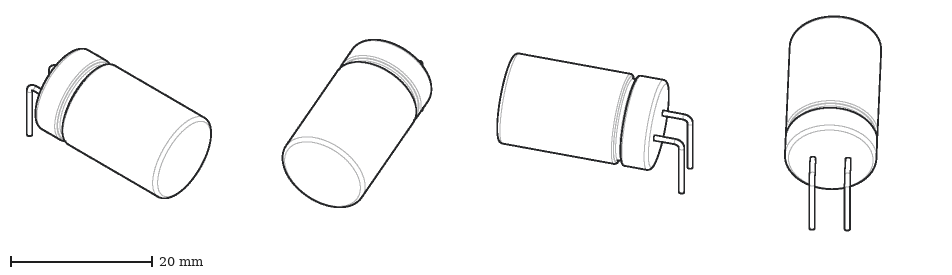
import cadquery as cq

total_length = 26.4
total_height = 16.5

can_diameter = 13.0
can_length = 22.02
end_radius = 0.5

groove_diameter = 11.8
groove_width = 1.05
groove_center = 4.51
groove_edge_radius = 0.25

lead_diameter = 0.8
lead_spacing = 5.0
bend_radius = 1.0
lead_embed = 0.53

can_radius = can_diameter / 2
lead_radius = lead_diameter / 2
lead_drop_x = can_length - total_length + lead_radius
lead_tip_z = can_radius - total_height


def make_can():
    """Cylindrical can with rounded ends and a rounded crimp groove."""
    can = cq.Workplane("YZ").circle(can_radius).extrude(can_length)
    can = can.faces("<X or >X").edges().fillet(end_radius)
    groove = (
        cq.Workplane("YZ", origin=(groove_center - groove_width / 2, 0, 0))
        .circle(can_diameter)
        .circle(groove_diameter / 2)
        .extrude(groove_width)
    )
    near_groove = cq.selectors.BoxSelector(
        (groove_center - groove_width, -can_diameter, -can_diameter),
        (groove_center + groove_width, can_diameter, can_diameter),
        boundingbox=True,
    )
    groove_circles = near_groove - cq.selectors.TypeSelector("LINE")
    return can.cut(groove).edges(groove_circles).fillet(groove_edge_radius)


def make_lead(y):
    """Round wire leaving the can along -X and turning down toward -Z."""
    path = (
        cq.Workplane("XZ", origin=(0, y, 0))
        .moveTo(lead_embed, 0)
        .lineTo(lead_drop_x + bend_radius, 0)
        .tangentArcPoint((lead_drop_x, -bend_radius), relative=False)
        .lineTo(lead_drop_x, lead_tip_z)
    )
    return cq.Workplane("YZ", origin=(lead_embed, y, 0)).circle(lead_radius).sweep(path)


result = make_can()
for side in (-1, 1):
    result = result.union(make_lead(side * lead_spacing / 2))